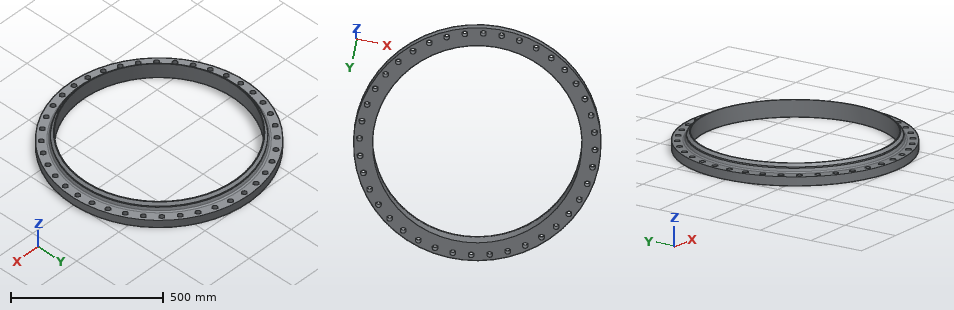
import cadquery as cq

flange_radius = 406.0
flange_thickness = 32.0
bore_radius = 344.0

total_height = 60.0
weld_land = 3.0
neck_radius = 357.0
neck_band_bottom = 45.5
neck_band_top = 50.0
taper_base_radius = 364.0
root_fillet = 7.0

hole_count = 40
hole_diameter = 19.0
bolt_circle_radius = 387.0


def flange_body():
    """Revolve the half section of the flange and its neck about Z."""
    section = (
        cq.Workplane("XZ")
        .moveTo(bore_radius, 0)
        .lineTo(flange_radius, 0)
        .lineTo(flange_radius, flange_thickness)
        .lineTo(taper_base_radius, flange_thickness)
        .lineTo(neck_radius, neck_band_bottom)
        .lineTo(neck_radius, neck_band_top)
        .lineTo(bore_radius + weld_land, total_height)
        .lineTo(bore_radius, total_height)
        .close()
    )
    return section.revolve(360, (0, 0, 0), (0, 1, 0))


def round_neck_root(body):
    """Fillet the circle where the neck taper meets the flange face."""
    margin = root_fillet
    root_zone = cq.selectors.BoxSelector(
        (-flange_radius, -flange_radius, flange_thickness - margin),
        (flange_radius, flange_radius, flange_thickness + margin),
        boundingbox=True,
    )
    root_edge = body.edges("%CIRCLE").edges(root_zone).edges(cq.selectors.RadiusNthSelector(0))
    return root_edge.fillet(root_fillet)


def bolt_holes():
    """Through holes evenly spaced on the bolt circle, the first one on +X."""
    return (
        cq.Workplane("XY")
        .polarArray(bolt_circle_radius, 0, 360, hole_count)
        .circle(hole_diameter / 2)
        .extrude(flange_thickness)
    )


result = round_neck_root(flange_body()).cut(bolt_holes())